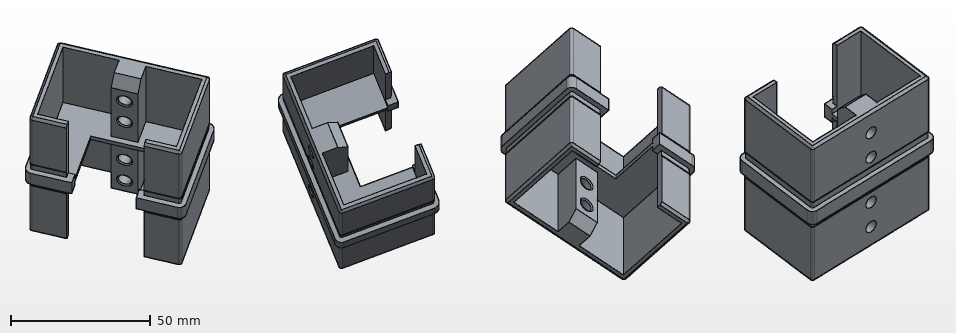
import cadquery as cq

collar_width = 60.0
collar_depth = 40.0
height = 66.0

collar_height = 6.35
collar_overhang = 1.6
collar_corner_radius = 2.5
collar_gap = 24.1

sleeve_width = collar_width - 2 * collar_overhang
sleeve_depth = collar_depth - 2 * collar_overhang
wall = 2.45
sleeve_corner_radius = 1.05
end_bevel = 1.0
sleeve_gap = 29.05

relief_depth = 0.25
relief_span = 12.2

web_thickness = 2.0
notch_depth = 24.0

boss_width = 10.0
boss_reach = 13.9
boss_chamfer = 3.95
hole_diameter = 5.0
hole_mouth_diameter = 6.0
hole_end_distances = (10.0, 22.0)

cavity_width = sleeve_width - 2 * wall
cavity_depth = sleeve_depth - 2 * wall
collar_front = -collar_depth / 2
collar_back = collar_depth / 2
sleeve_back = sleeve_depth / 2
boss_front = collar_back - boss_reach


def rounded_block(width, depth, block_height, radius):
    """Centred block with rounded vertical edges."""
    return cq.Workplane("XY").box(width, depth, block_height).edges("|Z").fillet(radius)


def front_opening(width, depth):
    """Full-height cutter that reaches in from the front of the collar."""
    return (
        cq.Workplane("XY")
        .box(width, depth, height, centered=(True, False, True))
        .translate((0, collar_front, 0))
    )


def make_sleeve():
    """Sleeve with beveled ends, a relief band and an open front."""
    sleeve = rounded_block(sleeve_width, sleeve_depth, height, sleeve_corner_radius)
    sleeve = sleeve.faces("<Z or >Z").chamfer(end_bevel)
    relief_core = rounded_block(
        sleeve_width - 2 * relief_depth,
        sleeve_depth - 2 * relief_depth,
        relief_span,
        sleeve_corner_radius - relief_depth,
    )
    relief_ring = cq.Workplane("XY").box(collar_width, collar_depth, relief_span).cut(relief_core)
    cavity = cq.Workplane("XY").box(cavity_width, cavity_depth, height)
    front_wall_depth = collar_overhang + wall
    return sleeve.cut(relief_ring).cut(cavity).cut(front_opening(sleeve_gap, front_wall_depth))


def make_collar_and_web():
    """Collar ring and its thinner web, notched together from the front."""
    collar = rounded_block(collar_width, collar_depth, collar_height, collar_corner_radius)
    collar = collar.cut(cq.Workplane("XY").box(cavity_width, cavity_depth, collar_height))
    web = cq.Workplane("XY").box(cavity_width, cavity_depth, web_thickness)
    return collar.union(web).cut(front_opening(collar_gap, notch_depth))


def make_boss():
    """Vertical bar rooted in the back wall, beveled at both front ends."""
    root = sleeve_back - wall / 2
    bar = (
        cq.Workplane("XY")
        .box(boss_width, root - boss_front, height, centered=(True, False, True))
        .translate((0, boss_front, 0))
    )
    return bar.faces("<Y").edges("|X").chamfer(boss_chamfer)


def make_screw_hole(z):
    """Through-hole cutter along Y with a conical mouth at the boss front."""
    mouth_depth = (hole_mouth_diameter - hole_diameter) / 2
    return (
        cq.Workplane("XY")
        .moveTo(0, boss_front)
        .lineTo(hole_mouth_diameter / 2, boss_front)
        .lineTo(hole_diameter / 2, boss_front + mouth_depth)
        .lineTo(hole_diameter / 2, collar_back)
        .lineTo(0, collar_back)
        .close()
        .revolve(360, (0, 0, 0), (0, 1, 0))
        .translate((0, 0, z))
    )


result = make_sleeve().union(make_collar_and_web()).union(make_boss())
for end_distance in hole_end_distances:
    hole_height = height / 2 - end_distance
    result = result.cut(make_screw_hole(hole_height)).cut(make_screw_hole(-hole_height))